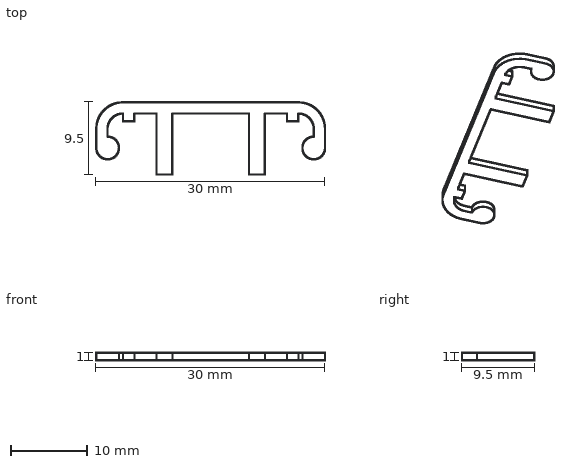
import cadquery as cq

length = 30.0
thickness = 1.0

wall = 1.5
corner_radius = 3.5
bead_radius = 1.5
bead_center_drop = 6.0

leg_gap = 10.0
leg_width = 2.1
leg_reach = 9.5

tab_width = 1.5
tab_height = 1.0

half_length = length / 2
inner_radius = corner_radius - wall
corner_center_x = half_length - corner_radius
arm_inner_x = half_length - wall
leg_center_x = (leg_gap + leg_width) / 2
tab_center_x = corner_center_x - tab_width / 2


def block(center_x, width, y_back, y_front):
    """Rectangular plate between two Y positions."""
    return (
        cq.Workplane("XY")
        .center(center_x, (y_back + y_front) / 2)
        .rect(width, y_back - y_front)
        .extrude(thickness)
    )


def curled_arm(side):
    """Rounded corner and straight arm, from the spine to the bead centre."""
    diagonal = 0.5 ** 0.5
    outer_mid = (
        side * (corner_center_x + corner_radius * diagonal),
        -corner_radius + corner_radius * diagonal,
    )
    inner_mid = (
        side * (corner_center_x + inner_radius * diagonal),
        -corner_radius + inner_radius * diagonal,
    )
    return (
        cq.Workplane("XY")
        .moveTo(side * corner_center_x, 0)
        .threePointArc(outer_mid, (side * half_length, -corner_radius))
        .lineTo(side * half_length, -bead_center_drop)
        .lineTo(side * arm_inner_x, -bead_center_drop)
        .lineTo(side * arm_inner_x, -corner_radius)
        .threePointArc(inner_mid, (side * corner_center_x, -wall))
        .close()
        .extrude(thickness)
    )


def bead(side):
    """Round end of an arm, tangent to the arm's outer face."""
    return (
        cq.Workplane("XY")
        .center(side * (half_length - bead_radius), -bead_center_drop)
        .circle(bead_radius)
        .extrude(thickness)
    )


result = block(0, 2 * corner_center_x, 0, -wall)
for side in (-1, 1):
    result = result.union(curled_arm(side))
    result = result.union(bead(side))
    result = result.union(block(side * leg_center_x, leg_width, 0, -leg_reach))
    result = result.union(block(side * tab_center_x, tab_width, 0, -wall - tab_height))
result = result.clean()